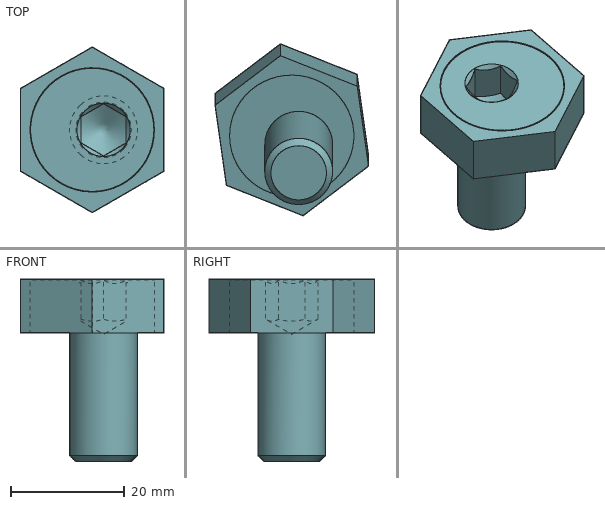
import cadquery as cq
import math

total_height = 32.3
hex_width = 25.4
ring_height = 9.53
head_recess = 0.1
head_diameter = 22.0
head_chamfer_width = 0.1
head_chamfer_depth = 0.055
eccentricity = 2.0
shank_diameter = 12.0
shank_chamfer = 1.1
socket_width = 8.0
socket_depth = 7.0
socket_mouth_diameter = 9.43
mouth_half_angle = 45.0
bottom_half_angle = 60.0

head_height = ring_height - head_recess
shank_length = total_height - ring_height


def corner_diameter(width):
    """Diameter across the corners of a hexagon, from its width across flats."""
    return width / math.cos(math.radians(30))


def hexagon_prism(width, height):
    """Upright hexagonal prism on Z = 0 with flats facing +X and -X."""
    return (
        cq.Workplane("XY")
        .polygon(6, corner_diameter(width))
        .extrude(height)
        .rotate((0, 0, 0), (0, 0, 1), 30)
    )


def cone_depth(diameter, half_angle):
    """Height of a cone, from its base diameter and half angle in degrees."""
    return diameter / 2 / math.tan(math.radians(half_angle))


def downward_cone(diameter, half_angle):
    """Cone with its base on Z = 0 and its tip pointing down."""
    radius = diameter / 2
    depth = cone_depth(diameter, half_angle)
    return (
        cq.Workplane("XZ")
        .polyline([(0, 0), (radius, 0), (0, -depth)])
        .close()
        .revolve(360, (0, 0, 0), (0, 1, 0))
    )


def make_socket():
    """Hexagon socket cutter with a conical bottom and a countersunk mouth, its mouth on Z = 0."""
    socket_corners = corner_diameter(socket_width)
    walls = hexagon_prism(socket_width, socket_depth).translate((0, 0, -socket_depth))
    tip_depth = socket_depth + cone_depth(socket_corners, bottom_half_angle)
    bottom_cone = downward_cone(socket_corners, bottom_half_angle).translate((0, 0, -socket_depth))
    bottom = (
        hexagon_prism(socket_width, tip_depth)
        .translate((0, 0, -tip_depth))
        .intersect(bottom_cone)
    )
    mouth = downward_cone(socket_mouth_diameter, mouth_half_angle)
    return walls.union(bottom).union(mouth)


def make_hex_ring():
    """Hexagonal ring that fits closely around the eccentric head."""
    bore = cq.Workplane("XY").circle(head_diameter / 2).extrude(ring_height)
    return hexagon_prism(hex_width, ring_height).cut(bore)


def make_eccentric_screw():
    """Round head with an offset shank and a socket in line with the shank."""
    head = (
        cq.Workplane("XY")
        .circle(head_diameter / 2)
        .extrude(head_height)
        .faces(">Z")
        .chamfer(head_chamfer_depth, head_chamfer_width)
    )
    shank = (
        cq.Workplane("XY")
        .center(eccentricity, 0)
        .circle(shank_diameter / 2)
        .extrude(-shank_length)
        .faces("<Z")
        .chamfer(shank_chamfer)
    )
    socket = make_socket().translate((eccentricity, 0, head_height))
    return head.union(shank).cut(socket)


hex_ring = make_hex_ring()
eccentric_screw = make_eccentric_screw()
result = cq.Compound.makeCompound([hex_ring.val(), eccentric_screw.val()])